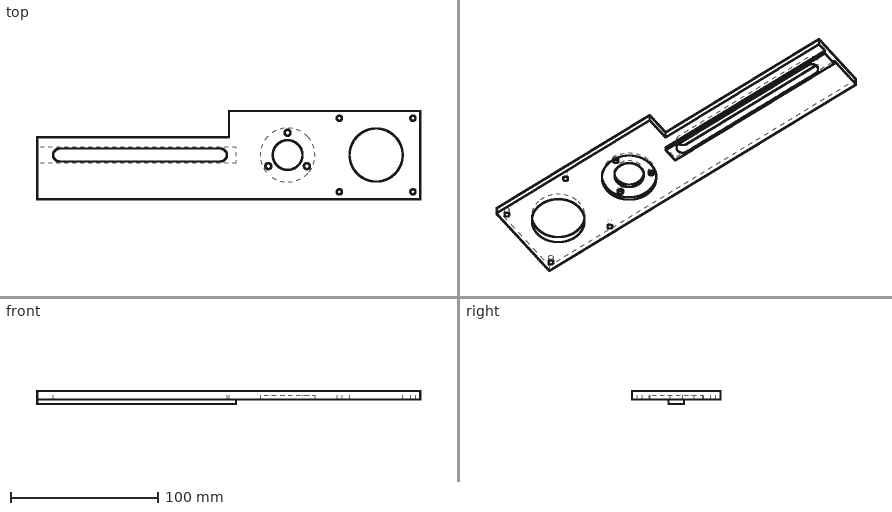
import cadquery as cq

length = 260.0
width = 60.0
plate_thickness = 6.0
neck_length = 130.0
neck_cutback = 18.0

rib_length = 135.0
rib_width = 10.7
rib_height = 3.0
slot_length = 117.8
slot_width = 8.5
slot_start = 11.0

large_bore_diameter = 36.0
large_bore_x = length - width / 2
corner_hole_spacing = 50.0
corner_hole_diameter = 3.5

small_bore_diameter = 20.0
small_bore_x = length - 1.5 * width
recess_diameter = 37.0
recess_depth = 2.9
ring_hole_count = 3
ring_hole_radius = 15.0
ring_hole_diameter = 4.0
first_ring_hole_angle = 90

back_y = width / 2
front_y = -width / 2
neck_back_y = back_y - neck_cutback


def make_plate():
    outline = [
        (0, front_y),
        (length, front_y),
        (length, back_y),
        (neck_length, back_y),
        (neck_length, neck_back_y),
        (0, neck_back_y),
    ]
    return cq.Workplane("XY").polyline(outline).close().extrude(plate_thickness)


def make_rib():
    return (
        cq.Workplane("XY")
        .center(rib_length / 2, 0)
        .rect(rib_length, rib_width)
        .extrude(-rib_height)
    )


def through_plane(x):
    """Workplane on the rib's bottom level, centred at x, for cutting upwards."""
    return cq.Workplane("XY", origin=(x, 0, -rib_height))


cut_height = plate_thickness + rib_height

slot = through_plane(slot_start + slot_length / 2).slot2D(slot_length, slot_width).extrude(cut_height)

large_bore = through_plane(large_bore_x).circle(large_bore_diameter / 2).extrude(cut_height)
corner_holes = (
    through_plane(large_bore_x)
    .rarray(corner_hole_spacing, corner_hole_spacing, 2, 2)
    .circle(corner_hole_diameter / 2)
    .extrude(cut_height)
)

small_bore = through_plane(small_bore_x).circle(small_bore_diameter / 2).extrude(cut_height)
recess = cq.Workplane("XY", origin=(small_bore_x, 0)).circle(recess_diameter / 2).extrude(recess_depth)
ring_holes = (
    through_plane(small_bore_x)
    .polarArray(ring_hole_radius, first_ring_hole_angle, 360, ring_hole_count)
    .circle(ring_hole_diameter / 2)
    .extrude(cut_height)
)

result = make_plate().union(make_rib())
for opening in (slot, large_bore, corner_holes, small_bore, recess, ring_holes):
    result = result.cut(opening)